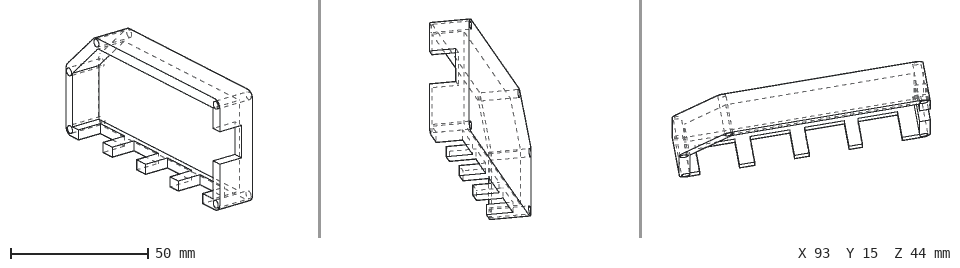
import cadquery as cq

length = 93.0
depth = 15.0
height = 44.0

wall = 4.0
floor_thickness = 3.0
corner_radius = 3.0

slope_run = 17.5
slope_rise = 16.7
inner_slope_run = 15.3
inner_slope_rise = 14.8

hole_diameter = 3.0
hole_inset = 2.4
slope_hole_centers = [(1.9, 25.0), (18.4, 41.9)]

opening_depth = 9.95
bottom_opening_width = 14.7
bottom_opening_starts = [7.6, 28.0, 48.2, 67.9]
side_opening_bottom = 19.1
side_opening_height = 12.8


def sloped_prism(x_min, x_max, z_min, z_max, run, rise, thickness):
    """Rectangle with a sloping upper left corner, extruded from y = 0 along +Y."""
    points = [
        (x_min, z_min),
        (x_max, z_min),
        (x_max, z_max),
        (x_min + run, z_max),
        (x_min, z_max - rise),
    ]
    return cq.Workplane("XZ").polyline(points).close().extrude(-thickness)


def opening(x, z, width, opening_height):
    """Box cut whose lower left corner on the open face is at (x, z)."""
    return cq.Workplane("XY").box(width, opening_depth, opening_height, centered=False).translate((x, 0, z))


body = sloped_prism(0, length, 0, height, slope_run, slope_rise, depth)
body = body.edges("|Y").fillet(corner_radius)

pocket = sloped_prism(
    wall, length - wall, wall, height - wall,
    inner_slope_run, inner_slope_rise, depth - floor_thickness,
)
body = body.cut(pocket)

for start in bottom_opening_starts:
    body = body.cut(opening(start, 0, bottom_opening_width, wall))

body = body.cut(opening(length - wall, side_opening_bottom, wall, side_opening_height))

hole_centers = [
    (hole_inset, hole_inset),
    (length - hole_inset, hole_inset),
    (length - hole_inset, height - hole_inset),
] + slope_hole_centers
holes = cq.Workplane("XZ").pushPoints(hole_centers).circle(hole_diameter / 2).extrude(-depth)

result = body.cut(holes)